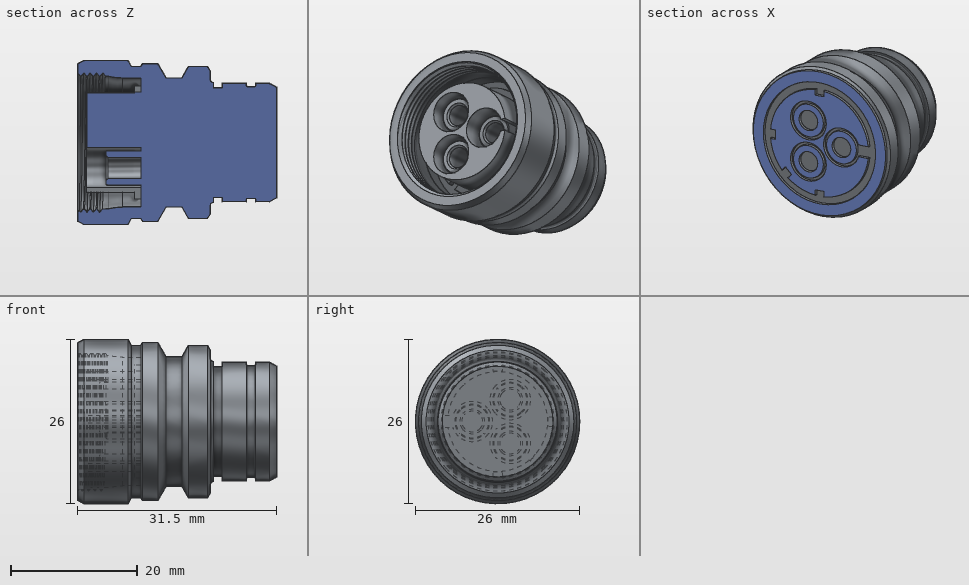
import cadquery as cq
import math


LENGTH = 31.5

FRONT_RADIUS = 13.0
FRONT_CHAMFER_LENGTH = 1.0
FRONT_CHAMFER_HEIGHT = 0.55
FRONT_BAND_END = 8.0

NECK_RADIUS = 12.05
NECK_START = 8.5
NECK_END = 10.0

SECOND_BAND_RADIUS = 12.5
SECOND_BAND_START = 10.25
SECOND_BAND_END = 12.7

WAIST_RADIUS = 10.25
WAIST_START = 14.0
WAIST_END = 16.5

COLLAR_RADIUS = NECK_RADIUS
COLLAR_START = 17.5
COLLAR_END = 20.55
COLLAR_BACK = 21.0
COLLAR_BACK_RADIUS = 11.3

STEP_RADIUS = 9.5
STEP_FILLET = 0.5
STEP_END = COLLAR_BACK + STEP_FILLET

TAIL_RADIUS = 9.4
TAIL_NECK_RADIUS = 8.7
TAIL_END_RADIUS = 8.75
TAIL_START = 22.85
TAIL_CHAMFER_START = 30.3

RING_GROOVE_RADIUS = 8.85
RING_GROOVE_START = 26.7
RING_GROOVE_END = 28.15
RING_GROOVE_FILLET = 0.2

THREAD_PITCH = 1.0
THREAD_MAJOR_RADIUS = 11.0
THREAD_MINOR_RADIUS = 10.46
THREAD_END = 4.9
THREAD_RUN = 4.4
THREAD_CREST_FLAT = 0.1
THREAD_OVERLAP = 0.05
LEAD_IN_LENGTH = 0.5
RUN_OUT_END_RADIUS = 10.2
SHOULDER = 7.1
SOCKET_RADIUS = 10.15
SOCKET_FLOOR = 10.0

INSERT_RADIUS = 7.9
INSERT_FACE = 1.45
FLANGE_RADIUS = 8.95
FLANGE_FACE = 9.0
NOTCH_WIDTH = 1.5
NOTCH_BOTTOM_RADIUS = 8.0
NOTCH_ANGLES = (0, 90, 270, 315)
KEYWAY_WIDTH = 1.9
KEYWAY_ANGLE = 180

CONTACT_CIRCLE_RADIUS = 4.0
CAVITY_RADIUS = 3.2
CONTACT_RADIUS = 2.75
CONTACT_CHAMFER = 0.15
CONTACT_BORE_RADIUS = 1.65
CONTACT_COUNTERSINK = 0.3
CONTACT_TIP = 3.45
KEYWAY_CONTACT_TIP = 4.5
CONTACTS = (
    (KEYWAY_ANGLE, KEYWAY_CONTACT_TIP),
    (KEYWAY_ANGLE + 120, CONTACT_TIP),
    (KEYWAY_ANGLE + 240, CONTACT_TIP),
)


def revolve_about_x(profile):
    """Revolve a closed (axial, radial) outline about the X axis."""
    return profile.close().revolve(360, (0, 0, 0), (1, 0, 0))


def cylinder(radius, start, end, y=0, z=0):
    """Solid cylinder parallel to X."""
    return cq.Workplane("YZ", origin=(start, 0, 0)).center(y, z).circle(radius).extrude(end - start)


def make_shell():
    """Outer turned body, solid inside."""
    arc_middle = 1 - math.sqrt(0.5)
    fillet_middle = STEP_FILLET * arc_middle
    corner_middle = RING_GROOVE_FILLET * arc_middle
    profile = (
        cq.Workplane("XY")
        .moveTo(0, 0)
        .lineTo(0, FRONT_RADIUS - FRONT_CHAMFER_HEIGHT)
        .lineTo(FRONT_CHAMFER_LENGTH, FRONT_RADIUS)
        .lineTo(FRONT_BAND_END, FRONT_RADIUS)
        .lineTo(NECK_START, NECK_RADIUS)
        .lineTo(NECK_END, NECK_RADIUS)
        .lineTo(SECOND_BAND_START, SECOND_BAND_RADIUS)
        .lineTo(SECOND_BAND_END, SECOND_BAND_RADIUS)
        .lineTo(WAIST_START, WAIST_RADIUS)
        .lineTo(WAIST_END, WAIST_RADIUS)
        .lineTo(COLLAR_START, COLLAR_RADIUS)
        .lineTo(COLLAR_END, COLLAR_RADIUS)
        .lineTo(COLLAR_BACK, COLLAR_BACK_RADIUS)
        .lineTo(COLLAR_BACK, STEP_RADIUS + STEP_FILLET)
        .threePointArc((COLLAR_BACK + fillet_middle, STEP_RADIUS + fillet_middle), (STEP_END, STEP_RADIUS))
        .lineTo(STEP_END, TAIL_NECK_RADIUS)
        .lineTo(TAIL_START, TAIL_NECK_RADIUS)
        .lineTo(TAIL_START, TAIL_RADIUS)
        .lineTo(RING_GROOVE_START, TAIL_RADIUS)
        .lineTo(RING_GROOVE_START, RING_GROOVE_RADIUS + RING_GROOVE_FILLET)
        .threePointArc(
            (RING_GROOVE_START + corner_middle, RING_GROOVE_RADIUS + corner_middle),
            (RING_GROOVE_START + RING_GROOVE_FILLET, RING_GROOVE_RADIUS),
        )
        .lineTo(RING_GROOVE_END - RING_GROOVE_FILLET, RING_GROOVE_RADIUS)
        .threePointArc(
            (RING_GROOVE_END - corner_middle, RING_GROOVE_RADIUS + corner_middle),
            (RING_GROOVE_END, RING_GROOVE_RADIUS + RING_GROOVE_FILLET),
        )
        .lineTo(RING_GROOVE_END, TAIL_RADIUS)
        .lineTo(TAIL_CHAMFER_START, TAIL_RADIUS)
        .lineTo(LENGTH, TAIL_END_RADIUS)
        .lineTo(LENGTH, 0)
    )
    return revolve_about_x(profile)


def make_socket():
    """Cavity of the front socket, without its thread groove and lead-in.

    Past the thread the wall narrows along an arc that ends parallel to the axis at the shoulder.
    """
    run_out_length = SHOULDER - THREAD_END
    run_out_drop = THREAD_MINOR_RADIUS - RUN_OUT_END_RADIUS
    run_out_arc_radius = (run_out_length**2 + run_out_drop**2) / (2 * run_out_drop)
    profile = (
        cq.Workplane("XY")
        .moveTo(0, 0)
        .lineTo(0, THREAD_MINOR_RADIUS)
        .lineTo(THREAD_END, THREAD_MINOR_RADIUS)
        .radiusArc((SHOULDER, RUN_OUT_END_RADIUS), -run_out_arc_radius)
        .lineTo(SHOULDER, SOCKET_RADIUS)
        .lineTo(SOCKET_FLOOR, SOCKET_RADIUS)
        .lineTo(SOCKET_FLOOR, 0)
    )
    return revolve_about_x(profile)


def make_lead_in():
    """Conical mouth of the threaded socket."""
    profile = (
        cq.Workplane("XY")
        .moveTo(0, 0)
        .lineTo(0, THREAD_MAJOR_RADIUS)
        .lineTo(LEAD_IN_LENGTH, THREAD_MINOR_RADIUS)
        .lineTo(LEAD_IN_LENGTH, 0)
    )
    return revolve_about_x(profile)


def make_thread_groove():
    """Right-handed V groove that winds along the socket wall, starting one pitch ahead of the face."""
    half_width = (THREAD_PITCH - THREAD_CREST_FLAT) / 2
    height = THREAD_RUN + THREAD_PITCH
    base_radius = THREAD_MINOR_RADIUS - THREAD_OVERLAP
    helix = cq.Wire.makeHelix(THREAD_PITCH, height, THREAD_MINOR_RADIUS)
    groove = (
        cq.Workplane("XZ")
        .moveTo(base_radius, -half_width)
        .lineTo(THREAD_MAJOR_RADIUS, 0)
        .lineTo(base_radius, half_width)
        .close()
        .sweep(cq.Workplane(obj=helix), isFrenet=True)
    )
    return (
        groove.rotate((0, 0, 0), (0, 0, 1), 90)
        .rotate((0, 0, 0), (0, 1, 0), 90)
        .translate((-THREAD_PITCH, 0, 0))
    )


def make_insert():
    """Insert with its notched flange, the contact cavities and the keyway on the -Y side."""
    insert = cylinder(INSERT_RADIUS, INSERT_FACE, SOCKET_FLOOR)
    flange = cylinder(FLANGE_RADIUS, FLANGE_FACE, SOCKET_FLOOR)
    notch_depth = FLANGE_RADIUS - NOTCH_BOTTOM_RADIUS
    notch = cq.Workplane("XY").box(
        SOCKET_FLOOR - FLANGE_FACE, notch_depth, NOTCH_WIDTH, centered=(False, False, True)
    ).translate((FLANGE_FACE, NOTCH_BOTTOM_RADIUS, 0))
    for angle in NOTCH_ANGLES:
        flange = flange.cut(notch.rotate((0, 0, 0), (1, 0, 0), angle))
    insert = insert.union(flange)
    keyway = cq.Workplane("XY").box(
        SOCKET_FLOOR - INSERT_FACE,
        FLANGE_RADIUS - CONTACT_CIRCLE_RADIUS,
        KEYWAY_WIDTH,
        centered=(False, False, True),
    ).translate((INSERT_FACE, CONTACT_CIRCLE_RADIUS, 0))
    insert = insert.cut(keyway.rotate((0, 0, 0), (1, 0, 0), KEYWAY_ANGLE))
    for angle, tip in CONTACTS:
        y = CONTACT_CIRCLE_RADIUS * math.cos(math.radians(angle))
        z = CONTACT_CIRCLE_RADIUS * math.sin(math.radians(angle))
        insert = insert.cut(cylinder(CAVITY_RADIUS, INSERT_FACE, SOCKET_FLOOR, y, z))
    return insert


def make_contact(tip):
    """Tubular contact around the X axis, standing on the socket floor."""
    profile = (
        cq.Workplane("XY")
        .moveTo(tip, CONTACT_BORE_RADIUS + CONTACT_COUNTERSINK)
        .lineTo(tip, CONTACT_RADIUS - CONTACT_CHAMFER)
        .lineTo(tip + CONTACT_CHAMFER, CONTACT_RADIUS)
        .lineTo(SOCKET_FLOOR, CONTACT_RADIUS)
        .lineTo(SOCKET_FLOOR, CONTACT_BORE_RADIUS)
        .lineTo(tip + CONTACT_COUNTERSINK, CONTACT_BORE_RADIUS)
    )
    return revolve_about_x(profile)


result = make_shell().cut(make_socket())
result = result.cut(make_thread_groove()).cut(make_lead_in())
result = result.union(make_insert())
for contact_angle, contact_tip in CONTACTS:
    contact = make_contact(contact_tip).translate((0, CONTACT_CIRCLE_RADIUS, 0))
    result = result.union(contact.rotate((0, 0, 0), (1, 0, 0), contact_angle))